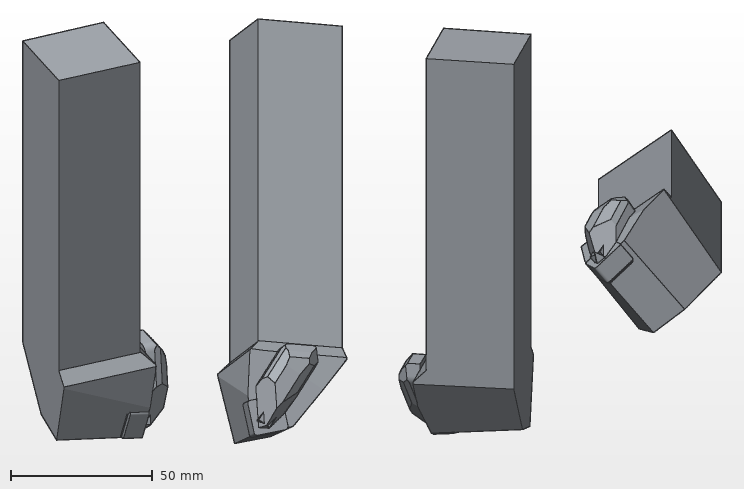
import cadquery as cq
import math

TOP = 152.3
SHANK_WIDTH = 31.0
SHANK_DEPTH = 31.5
HEAD_OVERHANG = 4.4
HEAD_RISE = 4.7
HEAD_WIDTH = SHANK_WIDTH + HEAD_OVERHANG
HEAD_DEPTH = SHANK_DEPTH + HEAD_RISE
HEAD_Z = 30.0

SIDE_DRAFT = 0.5
RELIEF_Z = 29.9
RELIEF_DRAFT = 0.6
RELIEF_RUN = 27.4
RELIEF_DROP = 36.5

CORNER = (32.3, 31.7, -0.23)
LEAD_ANGLE = 30.0
RAKE_TILT = 9.5
INSERT_SIDE = 12.6
INSERT_THICKNESS = 8.0
INSERT_NOSE = 1.0
INSERT_CHAMFER = 0.9
INSERT_OVERHANG = 0.6

CLAMP_LEFT = 4.7
CLAMP_RIGHT = -9.1
CLAMP_HEIGHT = 8.8
CLAMP_WALL = 3.0
CLAMP_BEVEL = 5.6
CLAMP_BEVEL_INSET = 0.9
CLAMP_TOP_INSET = 4.0
CLAMP_ROOT = 1.5
CLAMP_LENGTH = 45.7
BACK_LEFT_X = 12.8
LEFT_FACE_X = 11.7
BACK_LEFT_ROUND = 3.8
BACK_RIGHT_ROUND = 3.8
BACK_Z = 32.0
BACK_WALL_Y = 40.8
BACK_BEVEL_Y = 43.5
BACK_BEVEL_Z = 28.6
PEAK_Y = 44.6
PEAK_Z = 26.2
CLAMP_TIP_Z = 2.7
LEFT_BEVEL_POINT = (12.5, 41.5, 0)
LEFT_BEVEL_HEADING = 180.0
LEFT_BEVEL_LEAN = 50.0
FRONT_POINT = (28.8, 36.5, 3.5)
FRONT_HEADING = -133.0
FRONT_LEAN = 22.0
RIGHT_POINT = (32.3, 35.6, 18.1)
RIGHT_HEADING = -10.0
RIGHT_LEAN = 23.0
TONGUE_LEFT = 2.6
TONGUE_RIGHT = -2.3
TONGUE_TIP = -5.0
TONGUE_HEIGHT = 2.7
TONGUE_LENGTH = 12.2

BIG = 304.6


def rake_plane():
    """Origin at the insert corner, X along the bisector, Z square to the rake."""
    lead = math.radians(LEAD_ANGLE)
    tilt = math.radians(RAKE_TILT)
    along = (math.sin(lead) * math.cos(tilt), -math.sin(tilt), -math.cos(lead) * math.cos(tilt))
    normal = (math.sin(lead) * math.sin(tilt), math.cos(tilt), -math.cos(lead) * math.sin(tilt))
    return cq.Plane(origin=CORNER, xDir=along, normal=normal)


RAKE = rake_plane()


def square_corner(side, setback):
    """Square in the rake plane with one corner pointing along the bisector."""
    half = side / math.sqrt(2)
    tip = -setback * math.sqrt(2)
    points = [(tip, 0), (tip - half, half), (tip - 2 * half, 0), (tip - half, -half)]
    return cq.Workplane(RAKE).polyline(points).close()


def blank_outline(growth, drop):
    corner_z = RELIEF_Z - drop
    return [
        cq.Vector(-growth, 0, TOP),
        cq.Vector(-growth, 0, corner_z),
        cq.Vector(RELIEF_RUN - growth, 0, corner_z - RELIEF_DROP),
        cq.Vector(HEAD_WIDTH, 0, corner_z - RELIEF_DROP),
        cq.Vector(HEAD_WIDTH, 0, TOP),
    ]


def drafted_blank():
    front = cq.Wire.makePolygon(blank_outline(0, 0), close=True)
    back = cq.Wire.makePolygon(blank_outline(SIDE_DRAFT, RELIEF_DRAFT), close=True)
    back = back.translate(cq.Vector(0, HEAD_DEPTH, 0))
    return cq.Workplane(cq.Solid.makeLoft([front, back], True))


def shoulder_cut(plane, inner, rise):
    """Everything past `inner`, down to a 45 degree shoulder of the given rise."""
    points = [
        (inner, TOP),
        (inner, HEAD_Z + rise),
        (inner + 2 * rise, HEAD_Z - rise),
        (inner + 2 * rise, TOP),
    ]
    return cq.Workplane(plane).polyline(points).close().extrude(BIG, both=True)


def clamp_bar():
    """Long bar with double-bevelled sides, its base sunk below the rake plane."""
    section = [
        (CLAMP_LEFT, -CLAMP_ROOT),
        (CLAMP_LEFT, CLAMP_WALL),
        (CLAMP_LEFT - CLAMP_BEVEL_INSET, CLAMP_BEVEL),
        (CLAMP_LEFT - CLAMP_TOP_INSET, CLAMP_HEIGHT),
        (CLAMP_RIGHT + CLAMP_TOP_INSET, CLAMP_HEIGHT),
        (CLAMP_RIGHT + CLAMP_BEVEL_INSET, CLAMP_BEVEL),
        (CLAMP_RIGHT, CLAMP_WALL),
        (CLAMP_RIGHT, -CLAMP_ROOT),
    ]
    across = cq.Plane(origin=RAKE.origin, xDir=RAKE.yDir, normal=RAKE.xDir)
    return cq.Workplane(across).polyline(section).close().extrude(-CLAMP_LENGTH)


def side_line(lateral, x):
    """Point (x, z) of the clamp side at the given lateral place."""
    lead = math.radians(LEAD_ANGLE)
    z = CORNER[2] - (lateral + (x - CORNER[0]) * math.cos(lead)) / math.sin(lead)
    return (x, z)


def clamp_plan():
    """Upright prism with the rounded corners of the back end."""
    left_corner = side_line(CLAMP_LEFT, LEFT_FACE_X)
    slope = math.tan(math.radians(LEAD_ANGLE))
    zero_x, zero_z = side_line(CLAMP_RIGHT, CORNER[0])
    right_corner = (zero_x - (BACK_Z - zero_z) * slope, BACK_Z)
    far_x = CORNER[0] + CLAMP_LENGTH
    points = [
        left_corner,
        (BACK_LEFT_X, BACK_Z),
        right_corner,
        side_line(CLAMP_RIGHT, far_x),
        side_line(CLAMP_LEFT, far_x),
    ]
    prism = cq.Workplane("XZ").polyline(points).close().extrude(-BIG)

    def corner_edge(corner):
        return cq.selectors.NearestToPointSelector((corner[0], BIG / 2, corner[1]))

    prism = prism.edges("|Y").edges(corner_edge(left_corner)).fillet(BACK_LEFT_ROUND)
    return prism.edges("|Y").edges(corner_edge(right_corner)).fillet(BACK_RIGHT_ROUND)


def clamp_side_profile():
    """Bevelled back end, overhanging the shoulder of the head."""
    heel_z = HEAD_Z - CLAMP_ROOT
    points = [
        (HEAD_DEPTH, BACK_Z),
        (BACK_WALL_Y, BACK_Z),
        (BACK_BEVEL_Y, BACK_BEVEL_Z),
        (PEAK_Y, PEAK_Z),
        (PEAK_Y, CLAMP_TIP_Z),
        (0, CLAMP_TIP_Z),
        (0, heel_z),
        (HEAD_DEPTH, heel_z),
    ]
    return cq.Workplane("YZ").polyline(points).close().extrude(BIG, both=True)


def beyond_face(point, heading, lean):
    """Space beyond a plane; its normal heads round from +X towards +Z and leans up to +Y."""
    heading = math.radians(heading)
    lean = math.radians(lean)
    normal = (math.cos(heading) * math.cos(lean), math.sin(lean), math.sin(heading) * math.cos(lean))
    return cq.Workplane(cq.Plane(origin=point, normal=normal)).rect(BIG, BIG).extrude(BIG)


def clamp_tongue():
    height = CLAMP_ROOT + TONGUE_HEIGHT
    width = TONGUE_LEFT - TONGUE_RIGHT
    return (
        cq.Workplane(RAKE)
        .workplane(offset=-CLAMP_ROOT)
        .center(TONGUE_TIP - TONGUE_LENGTH, TONGUE_RIGHT)
        .box(TONGUE_LENGTH, width, height, centered=False)
    )


def clamp():
    return (
        clamp_bar()
        .intersect(clamp_plan())
        .intersect(clamp_side_profile())
        .cut(beyond_face(LEFT_BEVEL_POINT, LEFT_BEVEL_HEADING, LEFT_BEVEL_LEAN))
        .cut(beyond_face(FRONT_POINT, FRONT_HEADING, FRONT_LEAN))
        .cut(beyond_face(RIGHT_POINT, RIGHT_HEADING, RIGHT_LEAN))
        .union(clamp_tongue())
    )


def insert():
    body = square_corner(INSERT_SIDE, 0).extrude(-INSERT_THICKNESS)
    lowest = cq.selectors.DirectionMinMaxSelector(RAKE.zDir, False)
    upright = cq.selectors.ParallelDirSelector(RAKE.zDir)
    return body.edges(upright).fillet(INSERT_NOSE).faces(lowest).edges().chamfer(INSERT_CHAMFER)


def holder(pocket):
    body = drafted_blank()
    body = body.cut(shoulder_cut("XZ", SHANK_WIDTH, HEAD_OVERHANG))
    body = body.cut(shoulder_cut("YZ", SHANK_DEPTH, HEAD_RISE))
    flanks = square_corner(BIG, INSERT_OVERHANG).extrude(BIG, both=True)
    above_rake = cq.Workplane(RAKE).rect(BIG, BIG).extrude(BIG)
    body = body.intersect(flanks).cut(above_rake)
    return body.union(clamp()).cut(pocket)


cutting_insert = insert()
tool_holder = holder(cutting_insert)

result = cq.Compound.makeCompound([tool_holder.solids().val(), cutting_insert.solids().val()])